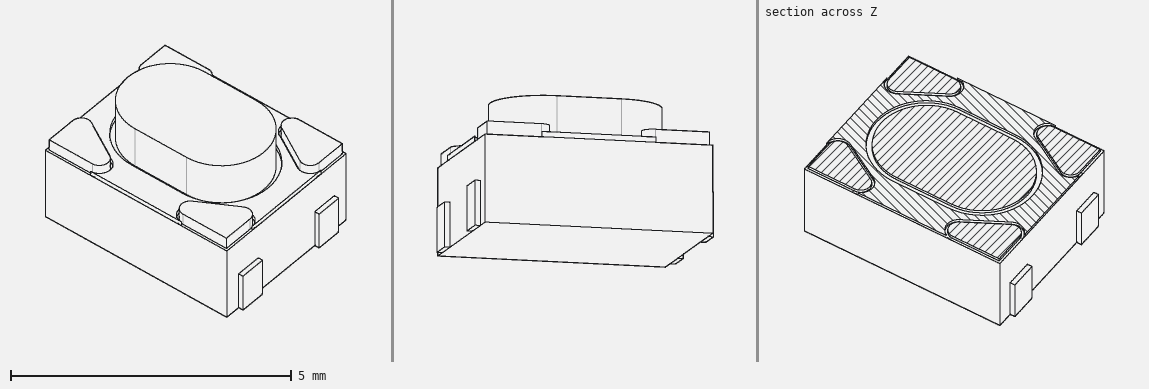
import cadquery as cq
import math

overall_length = 4.4
overall_width = 3.35
overall_height = 2.5

terminal_thickness = 0.1
terminal_width = 0.55
terminal_height = 0.82
terminal_spacing = 2.135

housing_length = overall_length - 2 * terminal_thickness
housing_height = 1.6
pad_top = 1.85
pad_inset = 0.05
pad_nose_radius = 0.2
pad_reach_x = 1.045
pad_slope = math.radians(30)

cover_thickness = 0.095
pad_clearance = pad_inset
button_clearance = 0.1

button_length = 3.14
button_width = 1.955


def pad_outline(x_side, y_side, margin):
    """Corner pad outline, grown evenly by margin: a square corner and two rounded noses."""
    radius = pad_nose_radius + margin
    inset = pad_inset - margin
    nose_inset = pad_inset + pad_nose_radius
    pad_reach_y = nose_inset + (pad_reach_x - nose_inset) * math.tan(pad_slope)

    def place(x_in, y_in):
        return x_side * (housing_length / 2 - x_in), y_side * (overall_width / 2 - y_in)

    def on_nose(center, angle):
        return place(center[0] + radius * math.cos(angle), center[1] + radius * math.sin(angle))

    long_nose = (pad_reach_x, nose_inset)
    short_nose = (nose_inset, pad_reach_y)
    slope_normal = math.pi / 2 - pad_slope
    return (
        cq.Workplane("XY", origin=(0, 0, housing_height))
        .moveTo(*place(inset, inset))
        .lineTo(*on_nose(long_nose, -math.pi / 2))
        .threePointArc(on_nose(long_nose, 0), on_nose(long_nose, slope_normal))
        .lineTo(*on_nose(short_nose, slope_normal))
        .threePointArc(on_nose(short_nose, math.pi / 2), on_nose(short_nose, math.pi))
        .close()
    )


corners = [(x_side, y_side) for x_side in (-1, 1) for y_side in (-1, 1)]


def make_housing():
    """Rectangular block with a raised pad at each top corner."""
    block = cq.Workplane("XY").box(
        housing_length, overall_width, housing_height, centered=(True, True, False)
    )
    for x_side, y_side in corners:
        pad = pad_outline(x_side, y_side, 0).extrude(pad_top - housing_height)
        block = block.union(pad)
    return block


def make_cover():
    """Thin plate on the housing, notched around the pads and open around the button."""
    top_plane = cq.Workplane("XY", origin=(0, 0, housing_height))
    plate = top_plane.box(
        housing_length, overall_width, cover_thickness, centered=(True, True, False)
    )
    opening = top_plane.slot2D(
        button_length + 2 * button_clearance, button_width + 2 * button_clearance
    ).extrude(cover_thickness)
    plate = plate.cut(opening)
    for x_side, y_side in corners:
        notch = pad_outline(x_side, y_side, pad_clearance).extrude(cover_thickness)
        plate = plate.cut(notch)
    return plate


def make_button():
    """Round-ended button standing on the housing."""
    return (
        cq.Workplane("XY", origin=(0, 0, housing_height))
        .slot2D(button_length, button_width)
        .extrude(overall_height - housing_height)
    )


def make_terminal(x_side, y_side):
    """Flat contact against one end face of the housing, level with its underside."""
    x_center = x_side * (housing_length + terminal_thickness) / 2
    y_center = y_side * terminal_spacing / 2
    return cq.Workplane("XY", origin=(x_center, y_center, 0)).box(
        terminal_thickness, terminal_width, terminal_height, centered=(True, True, False)
    )


housing = make_housing()
cover = make_cover()
button = make_button()
terminals = [make_terminal(x_side, y_side).val() for x_side, y_side in corners]

result = cq.Compound.makeCompound([housing.val(), cover.val(), button.val(), *terminals])